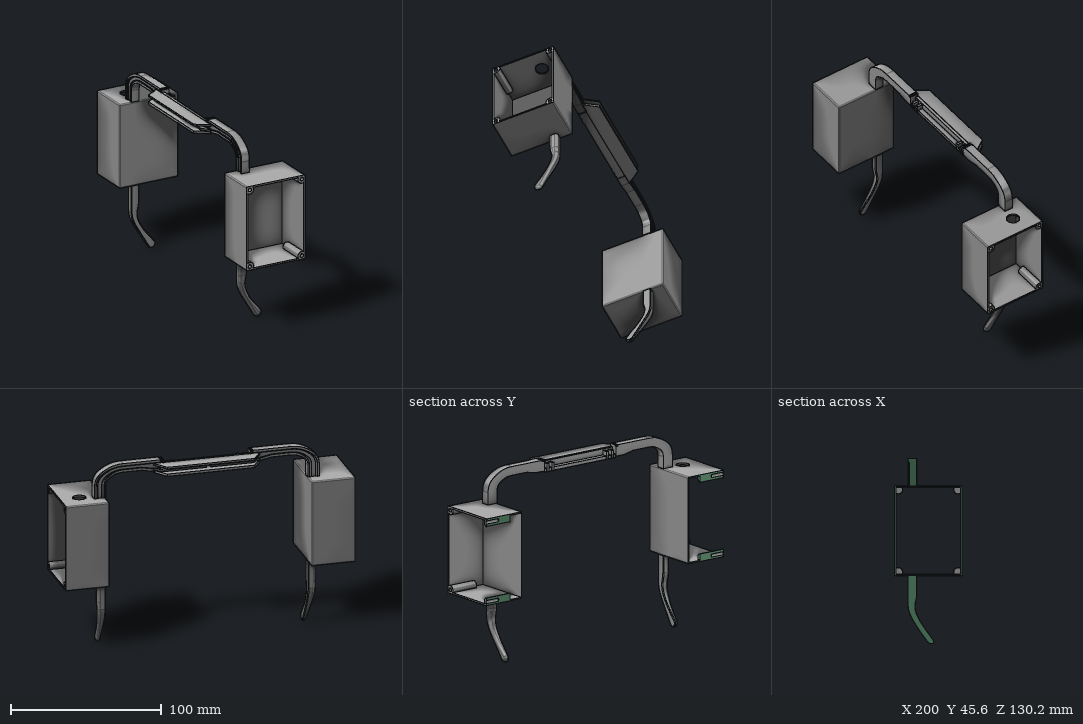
import cadquery as cq
import math

overall_length = 200.0
overall_height = 130.2
half_span = overall_length / 2
top_z = overall_height / 2
bottom_z = -overall_height / 2

box_depth = 30.0
box_width = 45.0
box_height = 60.0
box_back_y = 22.8
box_top_z = 42.0
box_wall = 1.2
box_edge_radius = 0.8
post_inset = 2.5
post_radius = 3.0
post_length = 20.0
screw_hole_radius = 1.2
screw_hole_depth = 10.0
screw_tip_angle = 118.0
cable_hole_radius = 4.5
cable_hole_x = -86.5
cable_hole_y = -7.5

inner_x = -half_span + box_depth
box_front_y = box_back_y - box_width
box_bottom_z = box_top_z - box_height

arm_front_y = -13.2
arm_depth = 6.0
arm_width = 7.8
arm_height = 6.2
bend_center_x = -57.8
bend_center_z = 50.5
arm_end_x = -30.0
flare_start_x = -45.0
flare_end_x = -37.0
flare_drop = 1.5
slit_width = 1.2
slit_offset = 0.8
slit_depth = 1.0

arm_back_y = arm_front_y + arm_depth
arm_outer_x = inner_x - arm_width
arm_bottom_z = top_z - arm_height

wide_groove_insets = (1.2, 1.0, 1.8, 1.8)
wide_groove_depth = 0.5
deep_groove_insets = (2.5, 2.5, 2.2, 2.0)
deep_groove_depth = 0.8

bar_top_z = 63.0
bar_bottom_z = 56.5
web_thickness = 2.2
ledge_top_z = 58.8
ledge_back_y = -7.5
rib_width = 1.8
rib_starts_x = (-28.0, -23.8)
rib_top_z = 62.0

web_back_y = arm_front_y + web_thickness

plate_back_half = 36.8
plate_front_half = 30.2
plate_front_y = -22.8
top_plate_thickness = 1.2
bottom_plate_thickness = 1.8
shelf_front_half = 30.8
shelf_front_y = -17.8
shelf_thickness = 1.2
wall_back_half = 32.5
wall_front_y = -14.5
notch_width = 3.0

hook_thickness = 5.5
hook_tip_thickness = 2.5
hook_taper_z = -32.0
hook_outer_radius = 1.8
hook_inner_chamfer = 0.5
hook_tip_radius = 3.0
hook_tip_y = 2.5
hook_front_lean = 32.0
hook_front_bend_z = -37.0
hook_front_points = [(-11.2, -45.0), (-4.8, -56.0)]
hook_back_lean = 42.0
hook_back_bend_z = -30.0
hook_back_points = [(-4.2, -49.2), (-8.5, -38.0)]


def block(x0, x1, y0, y1, z0, z1):
    """A box between two corners."""
    return cq.Workplane("XY").box(x1 - x0, y1 - y0, z1 - z0, centered=False).translate((x0, y0, z0))


def mirrored(body):
    """The copy of a left-hand body on the other side of X = 0."""
    return body.mirror("YZ")


def screw_drill():
    """The space of one blind screw hole with a conical end, along X from the open side."""
    tip_length = screw_hole_radius / math.tan(math.radians(screw_tip_angle / 2))
    hole_end_x = -half_span + screw_hole_depth
    return (
        cq.Workplane("XY")
        .moveTo(-half_span, 0)
        .lineTo(-half_span, screw_hole_radius)
        .lineTo(hole_end_x, screw_hole_radius)
        .lineTo(hole_end_x + tip_length, 0)
        .close()
        .revolve(360, (0, 0, 0), (1, 0, 0))
    )


def make_box():
    """The left-hand box without its cable hole."""
    block_body = block(-half_span, inner_x, box_front_y, box_back_y, box_bottom_z, box_top_z)
    outside = block_body.edges("|X or >X").fillet(box_edge_radius)
    cavity = block(
        -half_span, inner_x - box_wall,
        box_front_y + box_wall, box_back_y - box_wall,
        box_bottom_z + box_wall, box_top_z - box_wall,
    )
    post = cq.Workplane("YZ", origin=(-half_span, 0, 0)).circle(post_radius).extrude(post_length)
    drill = screw_drill()
    box = outside.cut(cavity)
    for y in (box_front_y + post_inset, box_back_y - post_inset):
        for z in (box_bottom_z + post_inset, box_top_z - post_inset):
            box = box.union(post.translate((0, y, z)).intersect(outside))
            box = box.cut(drill.translate((0, y, z)))
    return box


def cable_hole():
    """The space of the cable hole through the top of the left-hand box."""
    return (
        cq.Workplane("XY", origin=(cable_hole_x, cable_hole_y, box_top_z - box_wall))
        .circle(cable_hole_radius)
        .extrude(box_wall)
    )


def bend_middle(x, z):
    """The middle of the elliptic bend from an upright line at x to a level line at z."""
    share = math.sqrt(0.5)
    return (bend_center_x + (x - bend_center_x) * share, bend_center_z + (z - bend_center_z) * share)


def arm_band(insets, depth):
    """A band following the arm, set in from its edges and reaching back from its front."""
    outer_inset, inner_inset, upper_inset, lower_inset = insets
    outer_x = arm_outer_x + outer_inset
    band_inner_x = inner_x - inner_inset
    upper_z = top_z - upper_inset
    lower_z = arm_bottom_z + lower_inset
    return (
        cq.Workplane("XZ", origin=(0, arm_front_y, 0))
        .moveTo(outer_x, box_top_z)
        .lineTo(outer_x, bend_center_z)
        .spline(
            [bend_middle(outer_x, upper_z), (bend_center_x, upper_z)],
            tangents=[(0, 1), (1, 0)],
            includeCurrent=True,
        )
        .lineTo(arm_end_x, upper_z)
        .lineTo(arm_end_x, lower_z - flare_drop)
        .lineTo(flare_end_x, lower_z - flare_drop)
        .lineTo(flare_start_x, lower_z)
        .lineTo(bend_center_x, lower_z)
        .spline(
            [bend_middle(band_inner_x, lower_z), (band_inner_x, bend_center_z)],
            tangents=[(-1, 0), (0, -1)],
            includeCurrent=True,
        )
        .lineTo(band_inner_x, box_top_z)
        .close()
        .extrude(-depth)
    )


def make_arm():
    """The left-hand arm with its stepped groove and the slit across its end."""
    slit_end_x = arm_end_x - slit_offset
    slit = block(slit_end_x - slit_width, slit_end_x, arm_front_y, arm_back_y, top_z - slit_depth, top_z)
    return (
        arm_band((0, 0, 0, 0), arm_depth)
        .cut(arm_band(wide_groove_insets, wide_groove_depth))
        .cut(arm_band(deep_groove_insets, deep_groove_depth))
        .cut(slit)
    )


def make_frame():
    """Both arms and the bar that joins them."""
    arm = make_arm()
    web = block(arm_end_x, -arm_end_x, arm_front_y, web_back_y, bar_bottom_z, bar_top_z)
    ledge = block(arm_end_x, -arm_end_x, web_back_y, ledge_back_y, bar_bottom_z, ledge_top_z)
    frame = web.union(ledge)
    for x in rib_starts_x:
        rib = block(x, x + rib_width, web_back_y, arm_back_y, bar_bottom_z, rib_top_z)
        frame = frame.union(rib).union(mirrored(rib))
    return frame.union(arm).union(mirrored(arm))


def trapezoid(back_half, front_half, front_y, bottom, top):
    """A level slab against the bar that narrows towards its front edge."""
    return (
        cq.Workplane("XY", origin=(0, 0, bottom))
        .moveTo(-back_half, arm_front_y)
        .lineTo(-front_half, front_y)
        .lineTo(front_half, front_y)
        .lineTo(back_half, arm_front_y)
        .close()
        .extrude(top - bottom)
    )


def make_visor():
    """The two plates with the notched shelf and the wall between them."""
    shelf_bottom = bar_bottom_z + bottom_plate_thickness
    shelf_top = shelf_bottom + shelf_thickness
    wall_top = bar_top_z - top_plate_thickness
    bottom_plate = trapezoid(plate_back_half, plate_front_half, plate_front_y, bar_bottom_z, shelf_bottom)
    shelf = trapezoid(plate_back_half, shelf_front_half, shelf_front_y, shelf_bottom, shelf_top)
    notch = block(-notch_width / 2, notch_width / 2, shelf_front_y, wall_front_y, shelf_bottom, shelf_top)
    wall = trapezoid(wall_back_half, plate_front_half, wall_front_y, shelf_top, wall_top)
    top_plate = trapezoid(plate_back_half, plate_front_half, plate_front_y, wall_top, bar_top_z)
    return bottom_plate.union(shelf.cut(notch)).union(wall).union(top_plate)


def tip_point(angle):
    """A point (y, z) on the round hook tip, at an angle in degrees from the Y direction."""
    turn = math.radians(angle)
    return (
        hook_tip_y + hook_tip_radius * math.cos(turn),
        bottom_z + hook_tip_radius * (1 + math.sin(turn)),
    )


def hook_side():
    """The hook as a plate across X: an upright stem bent back to a round tip."""
    front_lean = math.radians(hook_front_lean)
    back_lean = math.radians(hook_back_lean)
    return (
        cq.Workplane("YZ", origin=(inner_x - hook_thickness, 0, 0))
        .moveTo(arm_front_y, box_bottom_z)
        .lineTo(arm_front_y, hook_front_bend_z)
        .spline(
            [*hook_front_points, tip_point(180 + hook_front_lean)],
            tangents=[(0, -1), (math.sin(front_lean), -math.cos(front_lean))],
            includeCurrent=True,
        )
        .threePointArc(tip_point(-90), tip_point(hook_back_lean))
        .spline(
            [*hook_back_points, (arm_back_y, hook_back_bend_z)],
            tangents=[(-math.sin(back_lean), math.cos(back_lean)), (0, 1)],
            includeCurrent=True,
        )
        .lineTo(arm_back_y, box_bottom_z)
        .close()
        .extrude(hook_thickness)
    )


def hook_taper():
    """The hook's thickness along X, as a band wide enough in Y to hold the whole hook."""
    outer_x = inner_x - hook_thickness
    tip_x = inner_x - hook_tip_thickness
    return (
        cq.Workplane("XZ", origin=(0, box_front_y, 0))
        .moveTo(inner_x, box_bottom_z)
        .lineTo(outer_x, box_bottom_z)
        .lineTo(outer_x, hook_taper_z)
        .spline(
            [(tip_x, bottom_z)],
            tangents=[(0, -1), (tip_x - outer_x, bottom_z - hook_taper_z)],
            includeCurrent=True,
        )
        .lineTo(inner_x, bottom_z)
        .close()
        .extrude(-box_width)
    )


def make_hook():
    """The left-hand hook, rounded on its outer side and chamfered on its inner side."""
    outer_edges = cq.selectors.BoxSelector(
        (inner_x - hook_thickness, box_front_y, bottom_z),
        (inner_x - hook_tip_thickness / 2, box_back_y, box_bottom_z - hook_inner_chamfer),
    )
    hook = hook_side().intersect(hook_taper()).edges(outer_edges).fillet(hook_outer_radius)
    return hook.faces(">X").edges("not >Z").chamfer(hook_inner_chamfer)


plain_box = make_box()
left_box = plain_box.cut(cable_hole())
right_box = mirrored(plain_box)
frame = make_frame()
visor = make_visor()
left_hook = make_hook()
right_hook = mirrored(left_hook)

bodies = [left_box, right_box, frame, visor, left_hook, right_hook]
result = cq.Compound.makeCompound([body.solids().val() for body in bodies])